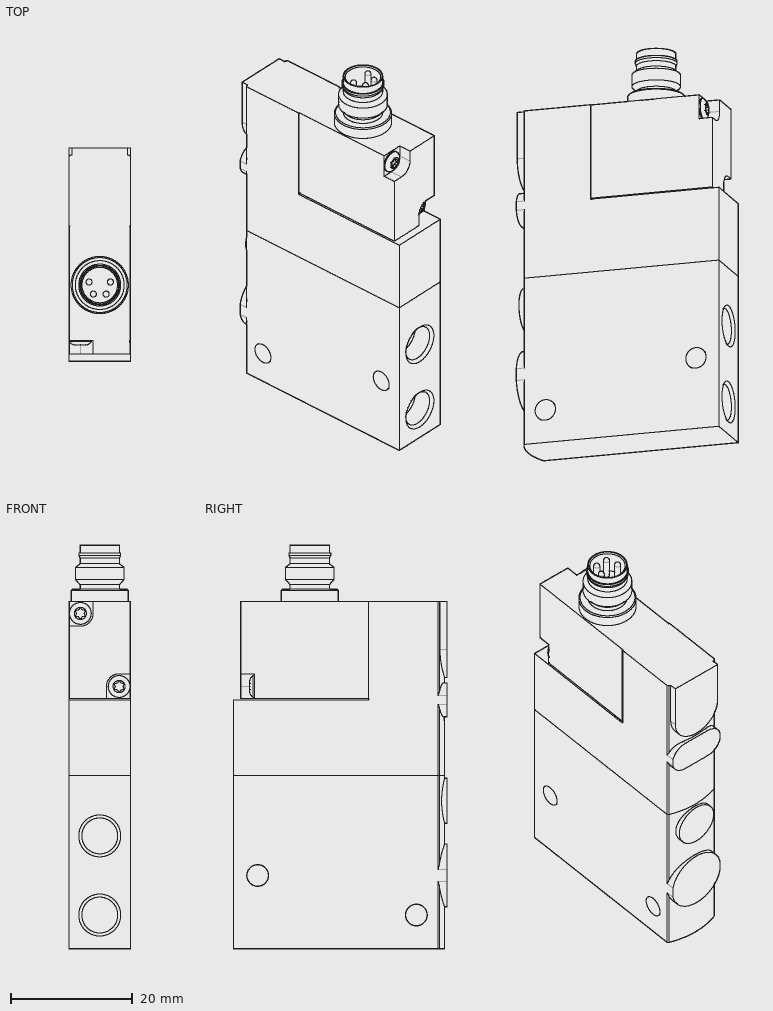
import cadquery as cq
import math


WIDTH = 10.1
DEPTH = 35.0
HEIGHT = 66.2
BASE_TOP = 28.4
HEAD_TOP = 57.0

BACK_MIDDLE_Y = 34.6
BACK_CORNER_Y = 33.55
BACK_BEVEL = 0.2

PAD_START_Y = 31.8
LARGE_PAD_DIAMETER = 10.3
LARGE_PAD_Z = 12.05
SMALL_PAD_DIAMETER = 7.4
SMALL_PAD_Z = 24.3
OVAL_PAD_HEIGHT = 5.55
OVAL_PAD_Z = 40.85
TONGUE_WIDTH = 9.15
TONGUE_ARC_Z = 49.05

PORT_DIAMETER = 5.9
PORT_MOUTH_DIAMETER = 6.9
PORT_DEPTH = 3.65
PORT_HEIGHTS = (5.55, 18.55)

MOUNT_HOLE_DIAMETER = 3.5
MOUNT_HOLES = ((4.0, 12.05), (30.0, 5.55))

LEDGE_Z = 40.85
COIL_FRONT_Y = 1.2
COIL_BACK_Y = 22.2
COIL_SIDE_INSET = 0.1
COIL_GAP = 0.2
COIL_BOTTOM = LEDGE_Z + COIL_GAP
COIL_WIDTH = WIDTH - 2 * COIL_SIDE_INSET

SCREW_X = 3.2
SCREW_EDGE_DISTANCE = 2.0
SCREW_RECESS_DIAMETER = 4.2
SCREW_SEAT_Y = 3.45
SCREW_TOP_Y = 2.65
SCREW_HEAD_DIAMETER = 3.6
SCREW_RIM_HEIGHT = 0.2
SCREW_DOME_BULGE = 0.05
STAR_DIAMETER = 2.0
STAR_INNER_DIAMETER = 1.25
STAR_POINTS = 6
STAR_DEPTH = 0.45

PLUG_Y = 12.5
PLUG_DIAMETER = 6.5
PLUG_FOOT_DIAMETER = 9.4
PLUG_FOOT_TOP = 59.0
PLUG_FOOT_CHAMFER = 0.2
PLUG_RING_DIAMETER = 8.0
PLUG_RING_CONE_BOTTOM = 59.7
PLUG_RING_BOTTOM = 60.6
PLUG_RING_TOP = 62.55
PLUG_RING_CONE_TOP = 63.15
PLUG_COLLAR_DIAMETER = 6.9
PLUG_COLLAR_CONE_BOTTOM = 64.1
PLUG_COLLAR_BOTTOM = 64.55
PLUG_COLLAR_TOP = 64.95
SOCKET_DIAMETER = 5.8
SOCKET_DEPTH = 4.0
SOCKET_CHAMFER = 0.2
PIN_DIAMETER = 1.0
PIN_CIRCLE_DIAMETER = 3.65
PIN_TIP_DROP = 0.2
PIN_ANGLES = (16, 164, 235, 305)


def bulged_block(bottom, top):
    """Upright block whose back is a shallow arc between bevelled corners."""
    half = WIDTH / 2
    arc_half = half - BACK_BEVEL
    arc_y = BACK_CORNER_Y + BACK_BEVEL
    return (
        cq.Workplane("XY", origin=(0, 0, bottom))
        .moveTo(-half, 0)
        .lineTo(half, 0)
        .lineTo(half, BACK_CORNER_Y)
        .lineTo(arc_half, arc_y)
        .threePointArc((0, BACK_MIDDLE_Y), (-arc_half, arc_y))
        .lineTo(-half, BACK_CORNER_Y)
        .close()
        .extrude(top - bottom)
    )


def facing_front(y, x=0.0, z=0.0):
    """Workplane facing -Y with local axes X and Z; negative extrusions run toward +Y."""
    return cq.Workplane(cq.Plane(origin=(x, y, z), xDir=(1, 0, 0), normal=(0, -1, 0)))


def box_between(x_range, y_range, z_range):
    corner = (x_range[0], y_range[0], z_range[0])
    size = [pair[1] - pair[0] for pair in (x_range, y_range, z_range)]
    return cq.Workplane("XY", origin=corner).box(*size, centered=False)


def trimmed_to_width(pad):
    """Cut a back pad flush with the sides of the block."""
    half = WIDTH / 2
    return pad.intersect(box_between((-half, half), (0, DEPTH), (0, HEIGHT)))


def round_pad(diameter, z):
    pad = facing_front(PAD_START_Y, z=z).circle(diameter / 2).extrude(PAD_START_Y - DEPTH)
    return trimmed_to_width(pad)


def oval_pad():
    pad = (
        facing_front(PAD_START_Y, z=OVAL_PAD_Z)
        .slot2D(LARGE_PAD_DIAMETER, OVAL_PAD_HEIGHT)
        .extrude(PAD_START_Y - DEPTH)
    )
    return trimmed_to_width(pad)


def tongue_pad():
    """Pad running down from the top edge and ending in a half circle."""
    half = TONGUE_WIDTH / 2
    return (
        facing_front(PAD_START_Y)
        .moveTo(-half, HEAD_TOP)
        .lineTo(-half, TONGUE_ARC_Z)
        .threePointArc((0, TONGUE_ARC_Z - half), (half, TONGUE_ARC_Z))
        .lineTo(half, HEAD_TOP)
        .close()
        .extrude(PAD_START_Y - DEPTH)
    )


def port(z):
    """Blind port with a 45 degree mouth."""
    mouth_radius = PORT_MOUTH_DIAMETER / 2
    radius = PORT_DIAMETER / 2
    profile = [
        (0, 0),
        (mouth_radius, 0),
        (radius, mouth_radius - radius),
        (radius, PORT_DEPTH),
        (0, PORT_DEPTH),
    ]
    return (
        cq.Workplane("XY", origin=(0, 0, z))
        .polyline(profile)
        .close()
        .revolve(360, (0, 0, 0), (0, 1, 0))
    )


def mount_hole(y, z):
    return (
        cq.Workplane("YZ", origin=(-WIDTH / 2, y, z))
        .circle(MOUNT_HOLE_DIAMETER / 2)
        .extrude(WIDTH)
    )


def make_base_block():
    block = bulged_block(0, BASE_TOP)
    block = block.union(round_pad(LARGE_PAD_DIAMETER, LARGE_PAD_Z))
    block = block.union(round_pad(SMALL_PAD_DIAMETER, SMALL_PAD_Z))
    for z in PORT_HEIGHTS:
        block = block.cut(port(z))
    for y, z in MOUNT_HOLES:
        block = block.cut(mount_hole(y, z))
    return block


def screw_recess():
    """Upper left corner pocket: round toward the box centre, square toward the box edges."""
    radius = SCREW_RECESS_DIAMETER / 2
    side = -WIDTH / 2
    top = HEAD_TOP
    z = HEAD_TOP - SCREW_EDGE_DISTANCE
    arc_middle = radius * math.sqrt(0.5)
    return (
        facing_front(COIL_FRONT_Y)
        .moveTo(side, top)
        .lineTo(-SCREW_X + radius, top)
        .lineTo(-SCREW_X + radius, z)
        .threePointArc((-SCREW_X + arc_middle, z - arc_middle), (-SCREW_X, z - radius))
        .lineTo(side, z - radius)
        .close()
        .extrude(COIL_FRONT_Y - SCREW_SEAT_Y)
    )


def screw_head():
    """Domed head of the upper left screw with a six-pointed star drive."""
    z = HEAD_TOP - SCREW_EDGE_DISTANCE
    rim = SCREW_HEAD_DIAMETER / 2
    flat = STAR_DIAMETER / 2
    rim_y = SCREW_SEAT_Y - SCREW_RIM_HEIGHT
    dome_middle = (
        (rim + flat) / 2 + SCREW_DOME_BULGE,
        (rim_y + SCREW_TOP_Y) / 2 - SCREW_DOME_BULGE,
    )
    head = (
        cq.Workplane("XY", origin=(-SCREW_X, 0, z))
        .moveTo(0, SCREW_SEAT_Y)
        .lineTo(rim, SCREW_SEAT_Y)
        .lineTo(rim, rim_y)
        .threePointArc(dome_middle, (flat, SCREW_TOP_Y))
        .lineTo(0, SCREW_TOP_Y)
        .close()
        .revolve(360, (0, 0, 0), (0, 1, 0))
    )
    star = []
    for corner in range(2 * STAR_POINTS):
        radius = (STAR_DIAMETER if corner % 2 == 0 else STAR_INNER_DIAMETER) / 2
        angle = math.pi * (corner / STAR_POINTS + 0.5)
        star.append((radius * math.cos(angle), radius * math.sin(angle)))
    drive = facing_front(SCREW_TOP_Y, -SCREW_X, z).polyline(star).close().extrude(-STAR_DEPTH)
    return head.cut(drive)


def coil_box():
    half = COIL_WIDTH / 2
    box = box_between((-half, half), (COIL_FRONT_Y, COIL_BACK_Y), (COIL_BOTTOM, HEAD_TOP))
    recess = screw_recess()
    head = screw_head()
    centre_z = (COIL_BOTTOM + HEAD_TOP) / 2
    for angle in (0, 180):
        axis = ((0, 0, centre_z), (0, 1, centre_z), angle)
        box = box.cut(recess.rotate(*axis)).union(head.rotate(*axis))
    return box


def plug():
    """Round plug with a locking ring, a snap collar and an open socket."""
    body = PLUG_DIAMETER / 2
    foot = PLUG_FOOT_DIAMETER / 2
    ring = PLUG_RING_DIAMETER / 2
    collar = PLUG_COLLAR_DIAMETER / 2
    socket = SOCKET_DIAMETER / 2
    profile = [
        (0, HEAD_TOP),
        (foot, HEAD_TOP),
        (foot, PLUG_FOOT_TOP - PLUG_FOOT_CHAMFER),
        (foot - PLUG_FOOT_CHAMFER, PLUG_FOOT_TOP),
        (body, PLUG_FOOT_TOP),
        (body, PLUG_RING_CONE_BOTTOM),
        (ring, PLUG_RING_BOTTOM),
        (ring, PLUG_RING_TOP),
        (body, PLUG_RING_CONE_TOP),
        (body, PLUG_COLLAR_CONE_BOTTOM),
        (collar, PLUG_COLLAR_BOTTOM),
        (collar, PLUG_COLLAR_TOP),
        (body, PLUG_COLLAR_TOP),
        (body, HEIGHT),
        (socket + SOCKET_CHAMFER, HEIGHT),
        (socket, HEIGHT - SOCKET_CHAMFER),
        (socket, HEIGHT - SOCKET_DEPTH),
        (0, HEIGHT - SOCKET_DEPTH),
    ]
    return (
        cq.Workplane("XZ", origin=(0, PLUG_Y, 0))
        .polyline(profile)
        .close()
        .revolve(360, (0, 0, 0), (0, 1, 0))
    )


def contact_pin(angle):
    """Contact pin with a ball tip, standing on the socket floor."""
    radius = PIN_DIAMETER / 2
    circle_radius = PIN_CIRCLE_DIAMETER / 2
    x = circle_radius * math.cos(math.radians(angle))
    y = PLUG_Y + circle_radius * math.sin(math.radians(angle))
    floor = HEIGHT - SOCKET_DEPTH
    tip = HEIGHT - PIN_TIP_DROP
    rod = cq.Workplane("XY", origin=(x, y, floor)).circle(radius).extrude(tip - radius - floor)
    return rod.union(cq.Workplane("XY", origin=(x, y, tip - radius)).sphere(radius))


def make_valve_head():
    head = bulged_block(BASE_TOP, HEAD_TOP)
    half = WIDTH / 2
    head = head.cut(box_between((-half, half), (0, COIL_BACK_Y), (LEDGE_Z, HEAD_TOP)))
    head = head.union(oval_pad()).union(tongue_pad())
    head = head.union(coil_box()).union(plug())
    for angle in PIN_ANGLES:
        head = head.union(contact_pin(angle))
    return head


base_block = make_base_block()
valve_head = make_valve_head()
result = cq.Compound.makeCompound([base_block.val(), valve_head.val()])